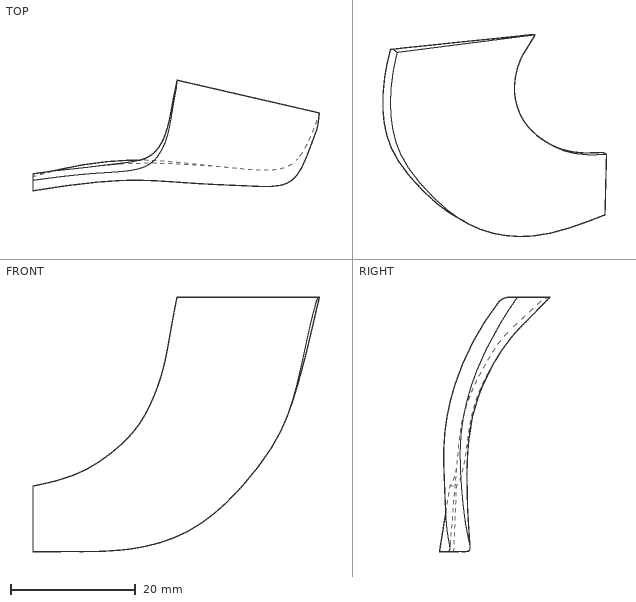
import cadquery as cq

WIDTH = 17.76
LENGTH = 45.88
HEIGHT = 40.81

END_HEIGHT = 10.55
TOP_FILLET = 2.4

INNER_FRONT = [
    (0, 1.7, END_HEIGHT),
    (4.6, 2.3, 11.65),
    (8.4, 2.7, 13.15),
    (12.0, 2.95, 15.45),
    (16.75, 3.5, 20.1),
    (19.25, 4.75, 24.7),
    (21.0, 7.35, 30.0),
    (21.75, 9.75, 33.8),
    (22.35, 13.1, 37.2),
    (23.05, 16.9, HEIGHT),
]
INNER_BACK = [
    (0, 2.75, END_HEIGHT),
    (4.6, 3.35, 11.65),
    (8.4, 3.75, 13.15),
    (12.0, 4.2, 15.45),
    (16.75, 4.85, 20.1),
    (19.25, 6.0, 24.7),
    (21.0, 8.6, 30.0),
    (21.75, 11.1, 33.8),
    (22.35, 14.2, 37.2),
    (23.05, WIDTH, HEIGHT),
]
OUTER_FRONT = [
    (0, 0, 0),
    (8.0, 1.15, 0.03),
    (15.9, 1.7, 0.5),
    (25.0, 1.25, 3.4),
    (34.0, 0.8, 11.1),
    (39.95, 0.95, 19.9),
    (42.55, 2.9, 28.0),
    (43.7, 5.15, 33.2),
    (45.6, 10.15, HEIGHT),
]
OUTER_BACK = [
    (0, 2.3, 0),
    (8.0, 4.2, 0.03),
    (15.9, 4.95, 0.5),
    (25.0, 4.4, 3.4),
    (34.0, 3.5, 11.1),
    (39.95, 3.6, 19.9),
    (42.75, 5.6, 28.0),
    (44.1, 7.9, 33.2),
    (LENGTH, 12.5, HEIGHT),
]


def long_edge(points):
    """Smooth curve through the given points."""
    return cq.Edge.makeSpline([cq.Vector(*point) for point in points])


def flat_face(corners):
    """Flat four-sided face with the given corners."""
    border = cq.Wire.makePolygon([cq.Vector(*corner) for corner in corners], close=True)
    return cq.Face.makeFromWires(border)


def blade():
    """Bent, twisted blade: four ruled sides between its long edges, closed by a flat end and a flat top."""
    rails = [INNER_FRONT, OUTER_FRONT, OUTER_BACK, INNER_BACK]
    edges = [long_edge(points) for points in rails]
    next_edges = edges[1:] + edges[:1]
    sides = [cq.Face.makeRuledSurface(edge, following) for edge, following in zip(edges, next_edges)]
    end = flat_face([points[0] for points in rails])
    top = flat_face([points[-1] for points in rails])
    return cq.Workplane(cq.Solid.makeSolid(cq.Shell.makeShell(sides + [end, top])))


def top_front_edge():
    """Selector for the straight edge where the flat top meets the front face."""
    middle = (cq.Vector(*INNER_FRONT[-1]) + cq.Vector(*OUTER_FRONT[-1])) / 2
    return cq.selectors.NearestToPointSelector(middle.toTuple())


result = blade().edges(top_front_edge()).fillet(TOP_FILLET)